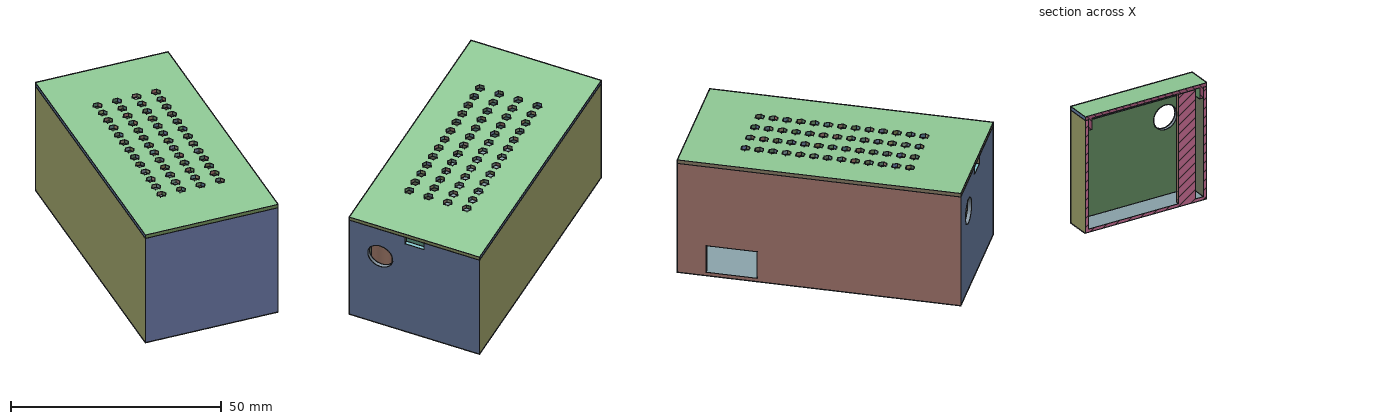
import cadquery as cq

LENGTH = 69.0
WIDTH = 34.0
HEIGHT = 31.0
WALL = 1.0

LID_THICKNESS = 1.0
RIM_DEPTH = 3.0
BOX_HEIGHT = HEIGHT - LID_THICKNESS
INNER_LENGTH = LENGTH - 2 * WALL
INNER_WIDTH = WIDTH - 2 * WALL

VENT_ACROSS_CORNERS = 2.3
VENT_COLUMNS = 13
VENT_ROWS = 4
VENT_SPAN_X = 40.0
VENT_PITCH_X = VENT_SPAN_X / (VENT_COLUMNS - 1)
VENT_SPAN_Y = 15.0
VENT_PITCH_Y = VENT_SPAN_Y / (VENT_ROWS - 1)
VENT_OFFSET_Y = 0.5

POST_DIAMETER = 5.0
POST_FROM_END = 6.5
POST_FROM_SIDE = 5.5

HOLE_DIAMETER = 6.5
HOLE_Y = 8.9
HOLE_Z = 21.5

NOTCH_WIDTH = 5.0
NOTCH_DEPTH = 2.1

OPENING_LENGTH = 12.4
OPENING_TOP = 8.3
OPENING_X = 21.25


def block(length, width, height):
    """Block centred on X and Y, standing on Z = 0."""
    return cq.Workplane("XY").box(length, width, height, centered=(True, True, False))


def corner_post():
    """Round post from the floor to the underside of the lid."""
    return (
        cq.Workplane("XY")
        .center(POST_FROM_END - LENGTH / 2, WIDTH / 2 - POST_FROM_SIDE)
        .circle(POST_DIAMETER / 2)
        .extrude(BOX_HEIGHT)
    )


def round_hole():
    """Cutter through the -X wall."""
    return (
        cq.Workplane("YZ", origin=(-LENGTH / 2, HOLE_Y, HOLE_Z))
        .circle(HOLE_DIAMETER / 2)
        .extrude(WALL)
    )


def edge_notch():
    """Cutter for the notch at the middle of the top edge of the -X wall."""
    cutter = block(WALL, NOTCH_WIDTH, NOTCH_DEPTH)
    return cutter.translate(((WALL - LENGTH) / 2, 0, BOX_HEIGHT - NOTCH_DEPTH))


def side_opening():
    """Cutter through the +Y wall, from the floor surface up."""
    cutter = block(OPENING_LENGTH, WALL, OPENING_TOP - WALL)
    return cutter.translate((OPENING_X, (WIDTH - WALL) / 2, WALL))


def make_box():
    """Open-topped box with its post and wall openings."""
    shell = block(LENGTH, WIDTH, BOX_HEIGHT)
    cavity = block(INNER_LENGTH, INNER_WIDTH, BOX_HEIGHT - WALL).translate((0, 0, WALL))
    hollow = shell.cut(cavity).union(corner_post())
    return hollow.cut(round_hole()).cut(edge_notch()).cut(side_opening())


def lid_vents():
    """Grid of hexagonal cutters with corners pointing along Y."""
    hexagon = (
        cq.Workplane("XY")
        .polygon(6, VENT_ACROSS_CORNERS)
        .extrude(LID_THICKNESS)
        .rotate((0, 0, 0), (0, 0, 1), 90)
        .val()
    )
    return (
        cq.Workplane("XY", origin=(0, VENT_OFFSET_Y, BOX_HEIGHT))
        .rarray(VENT_PITCH_X, VENT_PITCH_Y, VENT_COLUMNS, VENT_ROWS)
        .eachpoint(lambda place: hexagon.moved(place))
    )


def make_lid():
    """Flat vented lid with a rim that fits inside the box walls."""
    plate = block(LENGTH, WIDTH, LID_THICKNESS).translate((0, 0, BOX_HEIGHT))
    rim = (
        cq.Workplane("XY", origin=(0, 0, BOX_HEIGHT - RIM_DEPTH))
        .rect(INNER_LENGTH, INNER_WIDTH)
        .rect(INNER_LENGTH - 2 * WALL, INNER_WIDTH - 2 * WALL)
        .extrude(RIM_DEPTH)
    )
    return plate.union(rim).cut(lid_vents())


box = make_box()
lid = make_lid()

result = cq.Compound.makeCompound([box.solids().val(), lid.solids().val()])